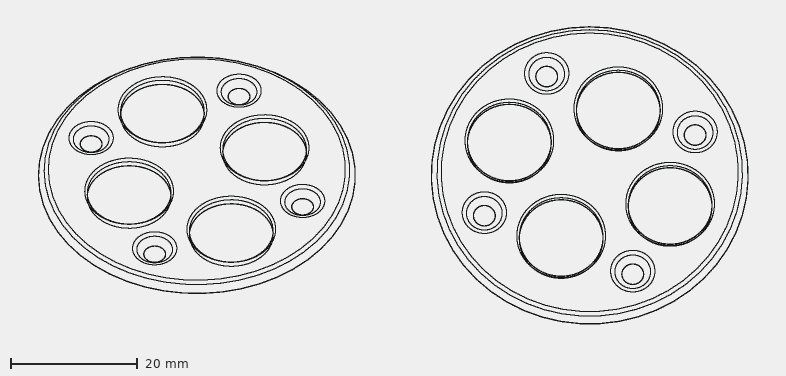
import cadquery as cq
import math

disc_radius = 25.0
thickness = 1.4
rim_angle = 40.0

edge_chamfer = 0.4

opening_diameter = 13.2
opening_offset_x = 13.75
opening_offset_y = 11.625
opening_centers = [
    (opening_offset_x, 0),
    (0, opening_offset_y),
    (-opening_offset_x, 0),
    (0, -opening_offset_y),
]

screw_diameter = 3.4
screw_circle_radius = 17.95
screw_count = 4
screw_first_angle = 45.0
sink_angle = 45.0


def cone_radius_change(angle):
    """Change in radius over the full thickness of a wall leaning by this angle."""
    return thickness * math.tan(math.radians(angle))


def make_cone(bottom_radius, top_radius):
    """Truncated cone, standing on the origin, as tall as the disc is thick."""
    profile = (
        cq.Workplane("XZ")
        .lineTo(bottom_radius, 0)
        .lineTo(top_radius, thickness)
        .lineTo(0, thickness)
        .close()
    )
    return profile.revolve(360, (0, 0, 0), (0, 1, 0))


def make_disc():
    """Plain disc that narrows towards its upper face."""
    top_radius = disc_radius - cone_radius_change(rim_angle)
    return make_cone(disc_radius, top_radius)


def cut_openings(body):
    """Four large straight openings through the disc."""
    cutter = make_cone(opening_diameter / 2, opening_diameter / 2)
    for x, y in opening_centers:
        body = body.cut(cutter.translate((x, y, 0)))
    return body


def cut_screw_holes(body):
    """Conical screw holes that widen over the full thickness."""
    screw_radius = screw_diameter / 2
    cutter = make_cone(screw_radius, screw_radius + cone_radius_change(sink_angle))
    for index in range(screw_count):
        angle = math.radians(screw_first_angle + index * 360 / screw_count)
        x = screw_circle_radius * math.cos(angle)
        y = screw_circle_radius * math.sin(angle)
        body = body.cut(cutter.translate((x, y, 0)))
    return body


def chamfer_upper_edges(body):
    """Break the rim edge and all hole edges of the upper face."""
    return body.faces(">Z").edges().chamfer(edge_chamfer)


disc = make_disc()
disc = cut_openings(disc)
disc = cut_screw_holes(disc)
result = chamfer_upper_edges(disc)